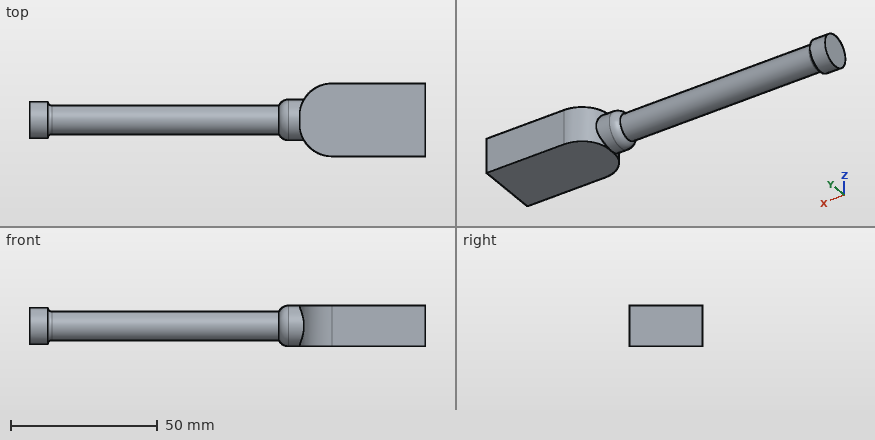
import cadquery as cq
import math

total_length = 135.0

head_width = 25.0
head_thickness = 14.0
head_start = 92.1
head_corner_radius = 11.1

rod_radius = 10.0 / 2
cap_radius = 12.5 / 2
cap_length = 6.2
collar_radius = head_thickness / 2
collar_start = 85.0
collar_round_length = 3.2

cap_fillet = cap_radius - rod_radius

collar_step = collar_radius - rod_radius
shoulder_radius = (collar_round_length**2 + collar_step**2) / (2 * collar_step)

collar_end = head_start + head_corner_radius


def make_head():
    head_length = total_length - head_start
    return (
        cq.Workplane("XY")
        .box(head_length, head_width, head_thickness, centered=(False, True, True))
        .translate((head_start, 0, 0))
        .edges("|Z and <X")
        .fillet(head_corner_radius)
    )


def make_rod():
    """Revolve the cap, rod and collar profile about the X axis."""
    fillet_offset = cap_fillet * (1 - math.sqrt(0.5))
    fillet_middle = (cap_length + fillet_offset, rod_radius + fillet_offset)

    collar_tangent_x = collar_start + collar_round_length
    half_angle = math.asin(collar_round_length / shoulder_radius) / 2
    shoulder_middle = (
        collar_tangent_x - shoulder_radius * math.sin(half_angle),
        collar_radius - shoulder_radius * (1 - math.cos(half_angle)),
    )
    return (
        cq.Workplane("XY")
        .lineTo(0, cap_radius)
        .lineTo(cap_length, cap_radius)
        .threePointArc(fillet_middle, (cap_length + cap_fillet, rod_radius))
        .lineTo(collar_start, rod_radius)
        .threePointArc(shoulder_middle, (collar_tangent_x, collar_radius))
        .lineTo(collar_end, collar_radius)
        .lineTo(collar_end, 0)
        .close()
        .revolve(360, (0, 0, 0), (1, 0, 0))
    )


result = make_head().union(make_rod())